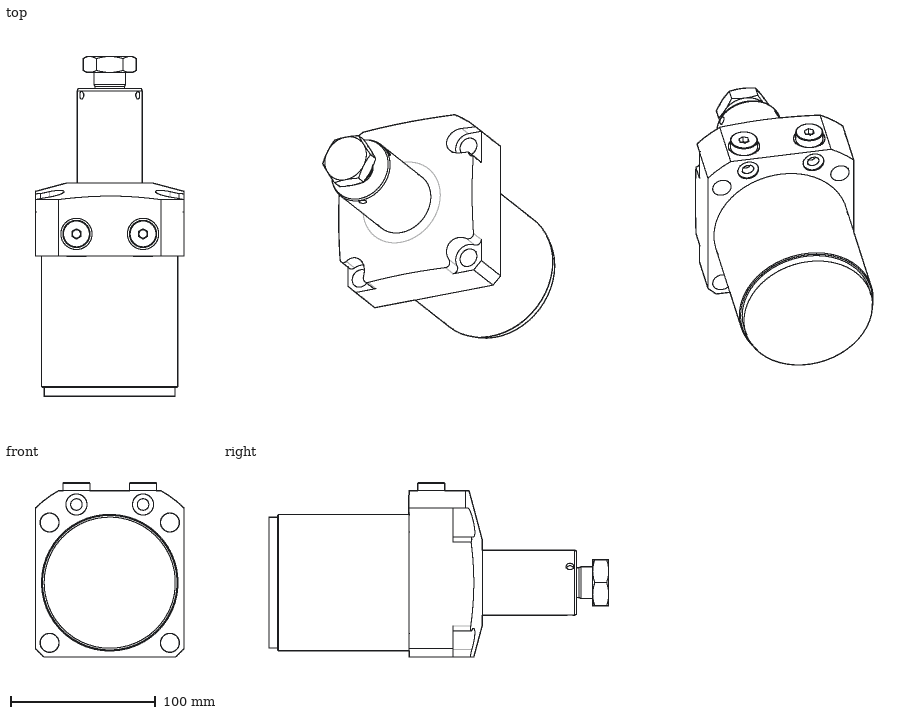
import cadquery as cq
import math


flange_thickness = 50.5
flange_half_width = 51.5
flange_top = 63.7
flange_bottom = -flange_half_width
bottom_corner_chamfer = 5.9
blank_radius = 72.8
cone_inner_radius = 29.8
cone_angle = 15.0

mount_offset = 41.5
mount_hole_diameter = 13.0
pocket_floor = 30.3
pocket_radius = 9.9
pocket_lip_radius = 3.5

barrel_radius = 47.2
barrel_length = 91.0
barrel_chamfer = 0.7
cap_radius = 45.4
cap_length = 6.0

port_spacing = 46.0
plug_y = 15.3
plug_radius = 9.5
plug_top = 69.0
plug_chamfer = 0.5
plug_shank_radius = 6.5
plug_seat_radius = 10.8
plug_seat_depth = 1.0
socket_width = 6.0
socket_depth = 4.2
socket_tip_radius = 2.8
socket_tip_angle = 30.0
ring_z = 54.0
ring_radius = 5.6
ring_section_radius = 1.6
ring_projection = 0.5
ring_port_radius = 4.7

rod_radius = 22.5
rod_end = 115.9
rod_chamfer_length = 1.6
rod_chamfer_width = 0.7
rod_hole_diameter = 5.2
rod_hole_depth = 3.5
rod_hole_setback = 4.7
rod_hole_count = 3
rod_first_hole_angle = 30.0

bolt_end = 138.0
head_width = 32.0
head_height = 11.0
head_chamfer_angle = 30.0
neck_radius = 11.0
neck_chamfer_width = 0.7
neck_chamfer_length = 1.5
neck_tip_length = 2.8

port_positions = (-port_spacing / 2, port_spacing / 2)


def turned(profile):
    """Solid of revolution about Y from (radius, y) points, started on the -X side."""
    outline = [(-radius, y) for radius, y in profile]
    return cq.Workplane("XY").polyline(outline).close().revolve(360, (0, 0, 0), (0, 1, 0))


def outline_at(y):
    """Workplane at height y whose local axes are X and Z; extruding goes toward -Y."""
    return cq.Workplane("XZ", origin=(0, y, 0))


def make_flange():
    cone_drop = (blank_radius - cone_inner_radius) * math.tan(math.radians(cone_angle))
    blank = turned([
        (0, 0),
        (blank_radius, 0),
        (blank_radius, flange_thickness - cone_drop),
        (cone_inner_radius, flange_thickness),
        (0, flange_thickness),
    ])
    block = (
        cq.Workplane("XY")
        .rect(2 * flange_half_width, 2 * flange_thickness)
        .extrude(flange_top - flange_bottom)
        .translate((0, 0, flange_bottom))
        .edges("|Y and <Z")
        .chamfer(bottom_corner_chamfer)
    )
    return blank.intersect(block)


def pocket_prism(sketch):
    """Extrude a closed outline from the pocket floor out through the cone."""
    return sketch.extrude(pocket_floor - flange_thickness)


def make_upper_pocket():
    """Slot at the left upper hole that opens to the left side, its lower lip rounded."""
    lip_z = mount_offset - pocket_radius
    lip_x = -flange_half_width + pocket_lip_radius
    mouth_x = lip_x - 2 * pocket_lip_radius
    slot = (
        outline_at(pocket_floor)
        .moveTo(-mount_offset, mount_offset + pocket_radius)
        .lineTo(mouth_x, mount_offset + pocket_radius)
        .lineTo(mouth_x, lip_z - pocket_lip_radius)
        .lineTo(-flange_half_width, lip_z - pocket_lip_radius)
        .radiusArc((lip_x, lip_z), -pocket_lip_radius)
        .lineTo(-mount_offset, lip_z)
        .radiusArc((-mount_offset, mount_offset + pocket_radius), -pocket_radius)
        .close()
    )
    return pocket_prism(slot)


def make_lower_pocket():
    """Round pocket at the left lower hole, blended into the left and bottom sides by rounded lips."""
    lip_reach = pocket_radius + pocket_lip_radius
    side_lip_x = -flange_half_width + pocket_lip_radius
    side_lip_z = -mount_offset + math.sqrt(lip_reach**2 - (side_lip_x + mount_offset) ** 2)
    bottom_lip_z = flange_bottom + pocket_lip_radius
    bottom_lip_x = -mount_offset + math.sqrt(lip_reach**2 - (bottom_lip_z + mount_offset) ** 2)
    mouth = pocket_prism(outline_at(pocket_floor).polyline([
        (-mount_offset, -mount_offset),
        (side_lip_x, side_lip_z),
        (-flange_half_width, side_lip_z),
        (-flange_half_width, flange_bottom),
        (bottom_lip_x, flange_bottom),
        (bottom_lip_x, bottom_lip_z),
    ]).close())
    lip_centers = [(side_lip_x, side_lip_z), (bottom_lip_x, bottom_lip_z)]
    lips = pocket_prism(outline_at(pocket_floor).pushPoints(lip_centers).circle(pocket_lip_radius))
    seat = pocket_prism(outline_at(pocket_floor).center(-mount_offset, -mount_offset).circle(pocket_radius))
    return mouth.cut(lips).union(seat)


def make_mount_holes():
    return (
        outline_at(0)
        .rect(2 * mount_offset, 2 * mount_offset, forConstruction=True)
        .vertices()
        .circle(mount_hole_diameter / 2)
        .extrude(-flange_thickness)
    )


def make_barrel():
    barrel_end = -barrel_length
    cap_end = barrel_end - cap_length
    return turned([
        (0, 0),
        (barrel_radius, 0),
        (barrel_radius, barrel_end + barrel_chamfer),
        (barrel_radius - barrel_chamfer, barrel_end),
        (cap_radius, barrel_end),
        (cap_radius, cap_end),
        (0, cap_end),
    ])


def make_plug(x):
    """Screw plug with a shank that closes the port bore, a round head and a hexagon socket."""
    axis = cq.Workplane("XY", origin=(x, plug_y, plug_top))
    socket_corner = socket_width / math.sqrt(3)
    plug_head_height = plug_top - flange_top + plug_seat_depth
    head = axis.circle(plug_radius).extrude(-plug_head_height).faces(">Z").chamfer(plug_chamfer)
    shank = axis.circle(plug_shank_radius).extrude(ring_z - ring_port_radius - plug_top)
    socket = axis.transformed(rotate=(0, 0, 90)).polygon(6, 2 * socket_corner).extrude(-socket_depth)
    tip_depth = socket_tip_radius * math.tan(math.radians(socket_tip_angle))
    tip_start = cq.Vector(x, plug_y, plug_top - socket_depth)
    tip = cq.Solid.makeCone(socket_tip_radius, 0, tip_depth, tip_start, cq.Vector(0, 0, -1))
    return head.union(shank).cut(socket).cut(cq.Workplane(tip))


def make_ring(x):
    """O-ring in its seat, standing slightly proud of the mounting face."""
    center = cq.Vector(x, ring_section_radius - ring_projection, ring_z)
    return cq.Workplane(cq.Solid.makeTorus(ring_radius, ring_section_radius, center, cq.Vector(0, 1, 0)))


def make_housing():
    body = make_flange().union(make_barrel())
    body = body.cut(make_mount_holes())
    for pocket in (make_upper_pocket(), make_lower_pocket()):
        body = body.cut(pocket).cut(pocket.mirror("YZ"))
    for x in port_positions:
        plug_seat = (
            cq.Workplane("XY", origin=(x, plug_y, flange_top))
            .circle(plug_seat_radius)
            .extrude(-plug_seat_depth)
        )
        ring_port = outline_at(0).center(x, ring_z).circle(ring_port_radius).extrude(-plug_y)
        ring_seat = (
            outline_at(0)
            .center(x, ring_z)
            .circle(ring_radius + ring_section_radius)
            .extrude(ring_projection - ring_section_radius)
        )
        body = body.cut(plug_seat).cut(ring_port).cut(ring_seat)
        body = body.union(make_plug(x)).union(make_ring(x))
    return body


def make_rod():
    rod = turned([
        (0, flange_thickness),
        (rod_radius, flange_thickness),
        (rod_radius, rod_end - rod_chamfer_length),
        (rod_radius - rod_chamfer_width, rod_end),
        (0, rod_end),
    ])
    for index in range(rod_hole_count):
        angle = math.radians(rod_first_hole_angle + index * 360 / rod_hole_count)
        outward = cq.Vector(math.cos(angle), 0, math.sin(angle))
        start = outward * (rod_radius - rod_hole_depth) + cq.Vector(0, rod_end - rod_hole_setback, 0)
        hole = cq.Solid.makeCylinder(rod_hole_diameter / 2, 2 * rod_hole_depth, start, outward)
        rod = rod.cut(cq.Workplane(hole))
    return rod


def make_bolt():
    """Hexagon head with both ends chamfered, on a neck that stands on the rod end."""
    head_start = bolt_end - head_height
    corner_radius = head_width / math.sqrt(3)
    face_radius = head_width / 2
    chamfer_length = (corner_radius - face_radius) * math.tan(math.radians(head_chamfer_angle))
    chamfer_envelope = turned([
        (0, head_start),
        (face_radius, head_start),
        (corner_radius, head_start + chamfer_length),
        (corner_radius, bolt_end - chamfer_length),
        (face_radius, bolt_end),
        (0, bolt_end),
    ])
    head = outline_at(head_start).polygon(6, 2 * corner_radius).extrude(-head_height)
    neck_shoulder = rod_end + neck_tip_length
    neck = turned([
        (0, rod_end),
        (neck_radius - neck_chamfer_width, rod_end),
        (neck_radius - neck_chamfer_width, neck_shoulder - neck_chamfer_length),
        (neck_radius, neck_shoulder),
        (neck_radius, head_start),
        (0, head_start),
    ])
    return head.intersect(chamfer_envelope).union(neck)


housing = make_housing()
rod = make_rod()
bolt = make_bolt()

result = cq.Compound.makeCompound([housing.val(), rod.val(), bolt.val()])